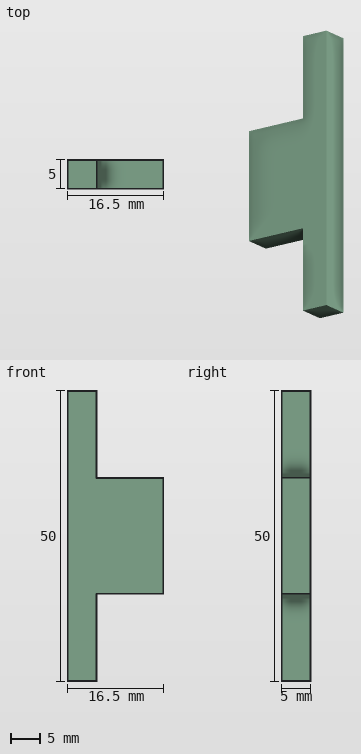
import cadquery as cq

bar_width = 5.0
thickness = 5.0
bar_length = 50.0
overall_width = 16.5
tab_height = 20.0

tab_reach = overall_width - bar_width


def make_bar():
    """Upright square bar with its outer face on X = 0, centred on Y and Z."""
    return cq.Workplane("XY").box(bar_width, thickness, bar_length, centered=(False, True, True))


def make_tab():
    """Rectangular tab standing out from the middle of the bar toward +X."""
    return (
        cq.Workplane("XY")
        .box(tab_reach, thickness, tab_height, centered=(False, True, True))
        .translate((bar_width, 0, 0))
    )


result = make_bar().union(make_tab()).clean()